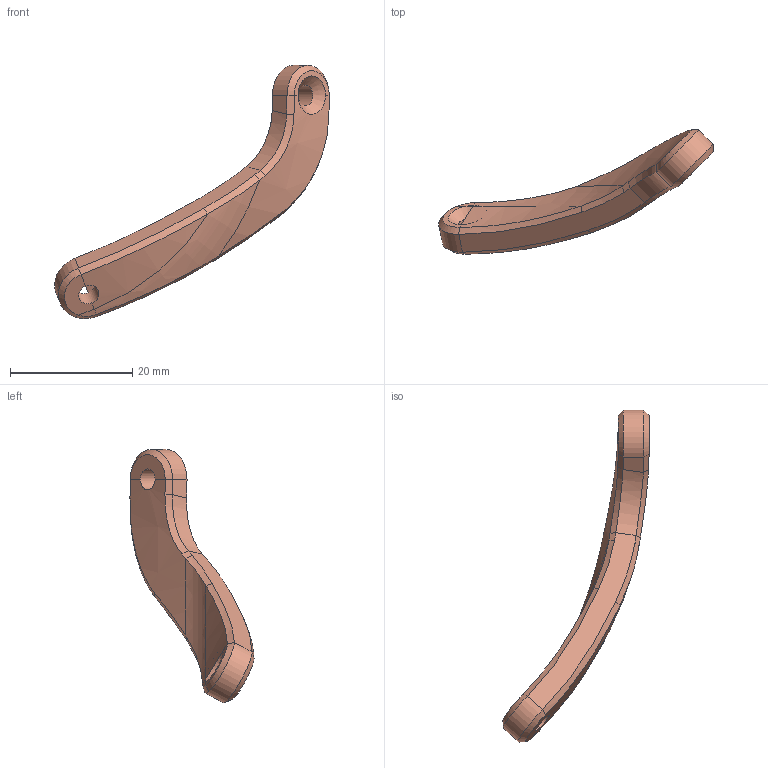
import cadquery as cq
import math

thickness = 5.05
end_radius = 4.89
edge_chamfer = 0.85
upper_hole_distance = 49.05
lower_hole_distance = 34.92
sweep_angle = 68.88

upper_slope = 45.0
lower_slope = 29.88
bend_start = 42.8
bend_radius = 20.5
leg_margin = 12.0

inner_elbow_radius = 11.2
outer_elbow_radius = 20.25
lean = -0.7

hole_diameter = 3.4
countersink_diameter = 6.33
countersink_angle = 90.0

cutter_length = 40.0
least_edge_turn = 45.0

axis_start = (0, 0, 0)
axis_end = (0, 1, 0)


def along(slope):
    """Direction in the XY plane at a slope from X."""
    angle = math.radians(slope)
    return cq.Vector(math.cos(angle), math.sin(angle), 0)


def below(slope):
    """Direction out of the lower face of a leg at a slope from X."""
    return along(slope - 90)


def at_lower_end(body):
    """Turn a body about the Y axis, from the XY plane to the lower end."""
    return body.rotate(axis_start, axis_end, sweep_angle)


def vector_at_lower_end(vector):
    """Turn a vector about the Y axis, from the XY plane to the lower end."""
    cosine = math.cos(math.radians(sweep_angle))
    sine = math.sin(math.radians(sweep_angle))
    return cq.Vector(vector.x * cosine + vector.z * sine, vector.y, vector.z * cosine - vector.x * sine)


def xy(vector):
    return vector.x, vector.y


upper_leg = along(upper_slope)
lower_leg = along(lower_slope)
upper_normal = below(upper_slope)
lower_normal = below(lower_slope)
outer_bend_radius = bend_radius + thickness
upper_hole = cq.Vector(upper_hole_distance, 0, 0)
bend_top = upper_hole - upper_leg * ((upper_hole_distance - bend_start) / upper_leg.x)
bend_centre = bend_top - upper_normal * outer_bend_radius
bend_bottom = bend_centre + lower_normal * outer_bend_radius
lower_hole = bend_bottom - lower_leg * ((bend_bottom.x - lower_hole_distance) / lower_leg.x)


def plate_section():
    top = upper_hole + upper_leg * leg_margin
    bottom = lower_hole - lower_leg * leg_margin
    middle_normal = below((upper_slope + lower_slope) / 2)
    return (
        cq.Workplane("XY")
        .moveTo(*xy(top))
        .lineTo(*xy(bend_top))
        .threePointArc(xy(bend_centre + middle_normal * outer_bend_radius), xy(bend_bottom))
        .lineTo(*xy(bottom))
        .lineTo(*xy(bottom - lower_normal * thickness))
        .lineTo(*xy(bend_centre + lower_normal * bend_radius))
        .threePointArc(
            xy(bend_centre + middle_normal * bend_radius),
            xy(bend_centre + upper_normal * bend_radius),
        )
        .lineTo(*xy(top - upper_normal * thickness))
        .close()
    )


def curved_plate():
    flat_length = 2 * end_radius
    curve = plate_section().revolve(sweep_angle, axis_start, axis_end)
    upper_flat = plate_section().extrude(flat_length)
    lower_flat = at_lower_end(plate_section().extrude(-flat_length))
    return curve.union(upper_flat).union(lower_flat)


def elbow_arc(plane, across, side_offset, radius):
    """Start, middle and end of one side's elbow, in a sketch with the upright part along its Y.

    The arc is tangent to the upright side and to the sloping side, whose normal is `across` and
    which meets the side of the lower round end.
    """
    turn = math.atan2(-across.y, across.x)
    end = plane.toLocalCoords(vector_at_lower_end(lower_hole + lower_leg * side_offset))
    centre_x = side_offset - radius
    centre_y = end.y - (radius + (centre_x - end.x) * across.x) / across.y
    return [
        (centre_x + radius * math.cos(angle), centre_y - radius * math.sin(angle))
        for angle in (0, turn / 2, turn)
    ]


def band():
    """The outline between the holes, cut along the one direction that lies in all its sides."""
    lean_angle = math.radians(lean)
    leaning_leg = lower_leg * math.cos(lean_angle) + cq.Vector(0, 0, math.sin(lean_angle))
    sloping_normal = vector_at_lower_end(leaning_leg)
    cut_direction = sloping_normal.cross(upper_leg).normalized()
    plane = cq.Plane(origin=upper_hole, xDir=upper_leg, normal=cut_direction)
    across = cq.Vector(sloping_normal.dot(plane.xDir), sloping_normal.dot(plane.yDir))
    inner_start, inner_middle, inner_end = elbow_arc(plane, across, -end_radius, inner_elbow_radius)
    outer_start, outer_middle, outer_end = elbow_arc(plane, across, end_radius, outer_elbow_radius)

    def past_lower_hole(point):
        return point[0] + across.y * cutter_length, point[1] - across.x * cutter_length

    outline = (
        cq.Workplane(plane)
        .moveTo(-end_radius, end_radius)
        .lineTo(*inner_start)
        .threePointArc(inner_middle, inner_end)
        .lineTo(*past_lower_hole(inner_end))
        .lineTo(*past_lower_hole(outer_end))
        .lineTo(*outer_end)
        .threePointArc(outer_middle, outer_start)
        .lineTo(end_radius, end_radius)
        .close()
    )
    side = 4 * cutter_length
    block = cq.Workplane("XY").box(side, side, side)
    below_upper_hole = block.translate((0, 0, -side / 2))
    ahead_of_lower_hole = at_lower_end(block.translate((0, 0, side / 2)))
    body = outline.extrude(cutter_length, both=True)
    return body.intersect(below_upper_hole).intersect(ahead_of_lower_hole)


def round_end(hole, leg, normal, side):
    """A half-round cutting body about a hole, on the +Z (1) or -Z (-1) side of it."""
    plane = cq.Plane(origin=hole, xDir=leg, normal=normal)
    half_disc = (
        cq.Workplane(plane)
        .moveTo(-end_radius, 0)
        .threePointArc((0, side * end_radius), (end_radius, 0))
        .close()
    )
    return half_disc.extrude(2 * thickness, both=True)


def sharp_edges(body):
    """Edges where two faces of a body meet at a clear angle."""
    faces_at = {}
    for face in body.Faces():
        for edge in face.Edges():
            faces_at.setdefault(edge, []).append(face)
    sharp = []
    for edge, faces in faces_at.items():
        if len(faces) == 2:
            middle = edge.positionAt(0.5)
            turn = faces[0].normalAt(middle).getAngle(faces[1].normalAt(middle))
            if turn > math.radians(least_edge_turn):
                sharp.append(edge)
    return sharp


def countersunk_hole(mouth, direction):
    """A hole body that starts at its mouth and runs along a direction through the plate."""
    half_angle = math.radians(countersink_angle / 2)
    depth = (countersink_diameter - hole_diameter) / 2 / math.tan(half_angle)
    cone = cq.Solid.makeCone(countersink_diameter / 2, hole_diameter / 2, depth, mouth, direction)
    bore = cq.Solid.makeCylinder(hole_diameter / 2, 2 * thickness, mouth, direction)
    return cq.Workplane(cone).union(cq.Workplane(bore))


upper_end = round_end(upper_hole, upper_leg, upper_normal, 1)
lower_end = at_lower_end(round_end(lower_hole, lower_leg, lower_normal, -1))
blank = curved_plate().intersect(band().union(upper_end).union(lower_end)).val().Solids()[0]
lever = cq.Workplane(blank.chamfer(edge_chamfer, None, sharp_edges(blank)))

upper_bore = countersunk_hole(upper_hole, -upper_normal)
lower_bore = at_lower_end(countersunk_hole(lower_hole - lower_normal * thickness, lower_normal))
result = lever.cut(upper_bore).cut(lower_bore)